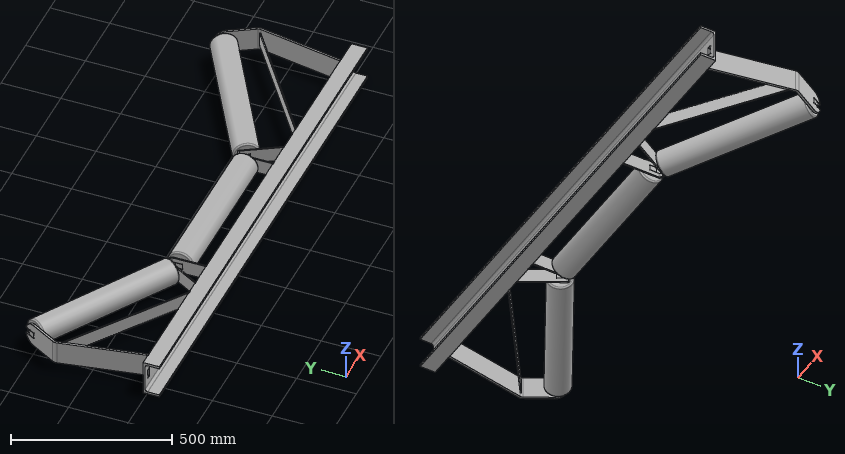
import cadquery as cq
import math


BEAM_LENGTH = 1700.0
BEAM_HEIGHT = 120.0
BEAM_DEPTH = 55.0
BEAM_WEB = 7.0
BEAM_FLANGE = 8.0
BEAM_ROOT_RADIUS = 8.0
MOUNT_SLOT_WIDTH = 14.0
MOUNT_SLOT_HEIGHT = 30.0
MOUNT_SLOT_INSET = 29.0

ROLLER_RADIUS = 45.0
ROLLER_LENGTH = 532.0
ROLLER_EDGE_RADIUS = 5.0
SHAFT_HEIGHT = 24.0
SHAFT_WIDTH = 19.0
CENTRE_ROLLER_Y = 115.0
WING_ROLLER_X = 539.0
WING_ROLLER_Y = 262.0
WING_ANGLE = 30.0
WING_TILT = 2.0
OUTER_GAP = 7.0
INNER_GAP = 3.0

SLOT_WIDTH = 20.0
SLOT_CUT_DEPTH = 20.0
SLOT_CUT_HEIGHT = 68.0
OUTER_THICKNESS = 8.0
OUTER_WIDTH = 80.0
OUTER_BEND_RADIUS = 14.0
OUTER_LEG_ANGLE = 10.0
OUTER_BEND_Y = 301.0
OUTER_TIP_Y = 425.0
OUTER_TIP_RADIUS = 39.0
INNER_THICKNESS = 5.0
INNER_WIDTH = 51.0
INNER_BEND_RADIUS = 3.0
INNER_SHOULDER_Y = 150.0
INNER_LEG_X = 274.0

BRACE_THICKNESS = 4.0
BRACE_WIDTH = 50.0
BRACE_FOOT_X = 411.0

TRIM = 17.0

wing = math.radians(WING_ANGLE)
outer_reach = ROLLER_LENGTH / 2 + OUTER_GAP
inner_reach = ROLLER_LENGTH / 2 + INNER_GAP
wing_roller_z = -(outer_reach + OUTER_THICKNESS / 2) * math.sin(math.radians(WING_TILT))
inner_z = 2 * wing_roller_z


def wing_point(distance):
    """Point on the left roller axis, measured from its middle towards the inner end."""
    return (-WING_ROLLER_X + distance * math.cos(wing), WING_ROLLER_Y - distance * math.sin(wing))


def on_plate(base, y):
    """Point at y on the line through base that is square to the wing roller."""
    return (base[0] + (y - base[1]) * math.tan(wing), y)


outer_plate_point = wing_point(-outer_reach - OUTER_THICKNESS / 2)
inner_plate_point = wing_point(inner_reach + INNER_THICKNESS / 2)
outer_bend = on_plate(outer_plate_point, OUTER_BEND_Y)


def mitre_sides(points, thickness):
    """Left and right offset points of a centreline, mitred at its corners."""
    angles = [math.atan2(b[1] - a[1], b[0] - a[0]) for a, b in zip(points, points[1:])]
    before = angles[:1] + angles
    after = angles + angles[-1:]
    left, right = [], []
    for (x, y), a, b in zip(points, before, after):
        middle = (a + b) / 2
        offset = thickness / 2 / math.cos((b - a) / 2)
        dx = -math.sin(middle) * offset
        dy = math.cos(middle) * offset
        left.append((x + dx, y + dy))
        right.append((x - dx, y - dy))
    return left, right


def strip(points, thickness, width, bend_radius=0.0):
    """Plate centred on Z = 0 along a centreline whose corners all turn clockwise."""
    left, right = mitre_sides(points, thickness)
    plate = cq.Workplane("XY").polyline(left + right[::-1]).close().extrude(width / 2, both=True)
    for outside, inside in zip(left[1:-1], right[1:-1]):
        for corner, radius in ((outside, bend_radius + thickness), (inside, bend_radius)):
            bend_edge = cq.selectors.NearestToPointSelector((*corner, 0))
            plate = plate.edges(bend_edge).fillet(radius)
    return plate


def trim_to_beam(plate):
    """Cut a plate off flush with the beam face."""
    below = cq.Workplane("XY").box(BEAM_LENGTH, BEAM_DEPTH, BEAM_HEIGHT)
    return plate.cut(below.translate((0, -BEAM_DEPTH / 2, 0)))


def shaft_slot(point, z, angle):
    """Cutter from the underside of a shaft to the plate tip, for a plate turned by angle."""
    cutter = cq.Workplane("XY").box(SLOT_CUT_DEPTH, SLOT_CUT_HEIGHT, SLOT_WIDTH)
    cutter = cutter.translate((0, (SLOT_CUT_HEIGHT - SHAFT_HEIGHT) / 2, 0))
    return cutter.rotate((0, 0, 0), (0, 0, 1), angle).translate((*point, z))


def make_beam():
    half = BEAM_HEIGHT / 2
    inside = half - BEAM_FLANGE
    outline = [
        (0, -half), (0, half), (-BEAM_DEPTH, half), (-BEAM_DEPTH, inside),
        (-BEAM_WEB, inside), (-BEAM_WEB, -inside), (-BEAM_DEPTH, -inside), (-BEAM_DEPTH, -half),
    ]
    beam = cq.Workplane("YZ").polyline(outline).close().extrude(BEAM_LENGTH / 2, both=True)
    for z in (-inside, inside):
        root = cq.selectors.NearestToPointSelector((0, -BEAM_WEB, z))
        beam = beam.edges("|X").edges(root).fillet(BEAM_ROOT_RADIUS)
    slot_x = BEAM_LENGTH / 2 - MOUNT_SLOT_INSET
    slots = (
        cq.Workplane("XZ").pushPoints([(-slot_x, 0), (slot_x, 0)])
        .rect(MOUNT_SLOT_WIDTH, MOUNT_SLOT_HEIGHT).extrude(BEAM_DEPTH)
    )
    return beam.cut(slots)


def make_roller(shaft_start, shaft_end):
    """Roller along X about the origin; its shaft runs between the two given X places."""
    drum = (
        cq.Workplane("YZ", origin=(-ROLLER_LENGTH / 2, 0, 0))
        .circle(ROLLER_RADIUS).extrude(ROLLER_LENGTH)
        .faces("|X").edges().fillet(ROLLER_EDGE_RADIUS)
    )
    shaft = (
        cq.Workplane("YZ", origin=(shaft_start, 0, 0))
        .rect(SHAFT_HEIGHT, SHAFT_WIDTH).extrude(shaft_end - shaft_start)
    )
    return drum.union(shaft)


def make_centre_roller():
    shaft_end = INNER_LEG_X + INNER_THICKNESS / 2
    return make_roller(-shaft_end, shaft_end).translate((0, CENTRE_ROLLER_Y, inner_z))


def make_wing_roller():
    roller = make_roller(-outer_reach - OUTER_THICKNESS, inner_reach + INNER_THICKNESS)
    roller = roller.rotate((0, 0, 0), (0, 1, 0), WING_TILT)
    roller = roller.rotate((0, 0, 0), (0, 0, 1), -WING_ANGLE)
    return roller.translate((-WING_ROLLER_X, WING_ROLLER_Y, wing_roller_z))


def make_outer_bracket():
    """Leaning leg, bent over square to the wing roller, with a rounded and slotted tip."""
    lean = math.tan(math.radians(OUTER_LEG_ANGLE))
    foot = (outer_bend[0] + (OUTER_BEND_Y + TRIM) * lean, -TRIM)
    tip = on_plate(outer_bend, OUTER_TIP_Y)
    bracket = strip([foot, outer_bend, tip], OUTER_THICKNESS, OUTER_WIDTH, OUTER_BEND_RADIUS)
    tip_face = cq.selectors.NearestToPointSelector((*tip, 0))
    bracket = bracket.faces(tip_face).edges("not |Z").fillet(OUTER_TIP_RADIUS)
    return trim_to_beam(bracket).cut(shaft_slot(outer_plate_point, 0, -WING_ANGLE))


def make_inner_bracket():
    """Folded plate: one leg square to the wing roller, the other to the centre roller."""
    shoulder = on_plate(inner_plate_point, INNER_SHOULDER_Y)
    top_run = -INNER_LEG_X - shoulder[0]
    points = [
        on_plate(inner_plate_point, -TRIM),
        shoulder,
        (-INNER_LEG_X, INNER_SHOULDER_Y - top_run * math.tan(wing)),
        (-INNER_LEG_X, -TRIM),
    ]
    bracket = trim_to_beam(strip(points, INNER_THICKNESS, INNER_WIDTH, INNER_BEND_RADIUS))
    bracket = bracket.translate((0, 0, inner_z))
    wing_slot = shaft_slot(inner_plate_point, inner_z, -WING_ANGLE)
    centre_slot = shaft_slot((-INNER_LEG_X, CENTRE_ROLLER_Y), inner_z, 0)
    return bracket.cut(wing_slot).cut(centre_slot)


def make_brace(bracket):
    """Flat bar from the inside of the outer bend to the beam face."""
    slope = (-BRACE_FOOT_X - outer_bend[0]) / OUTER_BEND_Y
    past_foot = (-BRACE_FOOT_X + TRIM * slope, -TRIM)
    brace = strip([outer_bend, past_foot], BRACE_THICKNESS, BRACE_WIDTH)
    return trim_to_beam(brace).cut(bracket)


beam = make_beam()
centre_roller = make_centre_roller()
outer_bracket = make_outer_bracket()

side_bodies = []
for body in (make_wing_roller(), outer_bracket, make_inner_bracket(), make_brace(outer_bracket)):
    side_bodies += [body.solids().val(), body.mirror("YZ").solids().val()]

result = cq.Compound.makeCompound([beam.solids().val(), centre_roller.solids().val(), *side_bodies])